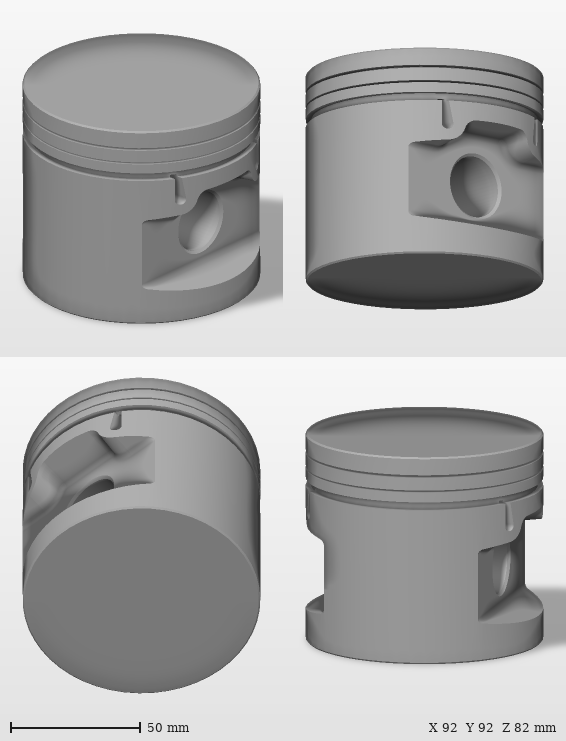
import cadquery as cq
import math

diameter = 92.0
radius = diameter / 2
height = 82.0
end_chamfer = 0.6

ring_grooves = [
    (7.0, 1.1, 3.2),
    (13.1, 0.8, 3.2),
    (17.8, 3.2, 2.2),
]
groove_overcut = 0.9

pin_height = 32.0
pin_diameter = 24.0
pin_chamfer = 1.0

boss_face_x = 30.9
relief_fillet = 2.0
roof_draft = 8.0
floor_slope = 12.0
floor_height_at_rim = 12.05
roof_low = 44.1
roof_high = 52.0
roof_high_half_width = 11.2
roof_low_start = 22.0
roof_crest_radius = 2.9
relief_reach = 18.4
relief_half_width = radius + 4.6
roof_trim = 4.6

slot_outer_y = 24.1
slot_end_radius = 2.0
slot_bottom = 49.8
slot_rise_above_groove = 1.0
slot_taper = 10.0


def body():
    return cq.Workplane("XY").circle(radius).extrude(height).faces("|Z").chamfer(end_chamfer)


def ring_groove(distance_below_crown, width, depth):
    return (
        cq.Workplane("XY")
        .workplane(offset=height - distance_below_crown - width)
        .circle(radius + groove_overcut)
        .circle(radius - depth)
        .extrude(width)
    )


def stepped_roof():
    """Relief under a stepped roof that rises outward, a little wider than the finished relief."""
    half_width = relief_half_width + roof_trim
    step_run = roof_low_start - roof_high_half_width
    step_rise = roof_high - roof_low
    radius_sum = (step_run**2 + step_rise**2) / (2 * step_rise)
    crest_share = roof_crest_radius / radius_sum
    joint_y = roof_high_half_width + crest_share * step_run
    joint_z = roof_high - crest_share * step_rise
    return (
        cq.Workplane("YZ", origin=(boss_face_x, 0, 0))
        .moveTo(-half_width, 0)
        .lineTo(-half_width, roof_low)
        .lineTo(-roof_low_start, roof_low)
        .tangentArcPoint((-joint_y, joint_z), relative=False)
        .tangentArcPoint((-roof_high_half_width, roof_high), relative=False)
        .lineTo(roof_high_half_width, roof_high)
        .tangentArcPoint((joint_y, joint_z), relative=False)
        .tangentArcPoint((roof_low_start, roof_low), relative=False)
        .lineTo(half_width, roof_low)
        .lineTo(half_width, 0)
        .close()
        .extrude(relief_reach, taper=-roof_draft)
    )


def side_relief():
    """Complete +X relief: stepped roof, flat boss face and outward falling floor."""
    fall = math.tan(math.radians(floor_slope))
    outer_x = boss_face_x + relief_reach
    floor_inner = floor_height_at_rim + (radius - boss_face_x) * fall
    floor_outer = floor_inner - relief_reach * fall
    above_floor = (
        cq.Workplane("XZ")
        .polyline([
            (boss_face_x, floor_inner),
            (outer_x, floor_outer),
            (outer_x, height),
            (boss_face_x, height),
        ])
        .close()
        .extrude(relief_half_width, both=True)
    )
    relief = stepped_roof().intersect(above_floor)
    return relief.faces("<X").edges("not(<Y or >Y)").fillet(relief_fillet)


def pin_bore():
    """Through bore with a chamfer at each boss face."""
    bore_radius = pin_diameter / 2
    return (
        cq.Workplane("XY")
        .moveTo(-radius, 0)
        .lineTo(-radius, bore_radius + pin_chamfer)
        .lineTo(-boss_face_x, bore_radius + pin_chamfer)
        .lineTo(-boss_face_x + pin_chamfer, bore_radius)
        .lineTo(boss_face_x - pin_chamfer, bore_radius)
        .lineTo(boss_face_x, bore_radius + pin_chamfer)
        .lineTo(radius, bore_radius + pin_chamfer)
        .lineTo(radius, 0)
        .close()
        .revolve(360, (0, 0, 0), (1, 0, 0))
        .translate((0, 0, pin_height))
    )


def skirt_slot():
    """+Y slot through the body along X: upright outer side, slanted inner side, round bottom."""
    oil_distance, oil_width, _ = ring_grooves[-1]
    top_z = height - oil_distance - oil_width + slot_rise_above_groove
    center_y = slot_outer_y - slot_end_radius
    center_z = slot_bottom + slot_end_radius
    taper = math.radians(slot_taper)
    inner_y = center_y - slot_end_radius * math.cos(taper)
    inner_z = center_z + slot_end_radius * math.sin(taper)
    top_inner_y = inner_y + (top_z - inner_z) * math.tan(taper)
    return (
        cq.Workplane("YZ")
        .moveTo(slot_outer_y, top_z)
        .lineTo(slot_outer_y, center_z)
        .threePointArc((center_y, slot_bottom), (inner_y, inner_z))
        .lineTo(top_inner_y, top_z)
        .close()
        .extrude(radius, both=True)
    )


result = body()
for groove in ring_grooves:
    result = result.cut(ring_groove(*groove))

relief = side_relief()
result = result.cut(relief).cut(relief.mirror("YZ"))
result = result.cut(pin_bore())

slot = skirt_slot()
result = result.cut(slot).cut(slot.mirror("XZ"))